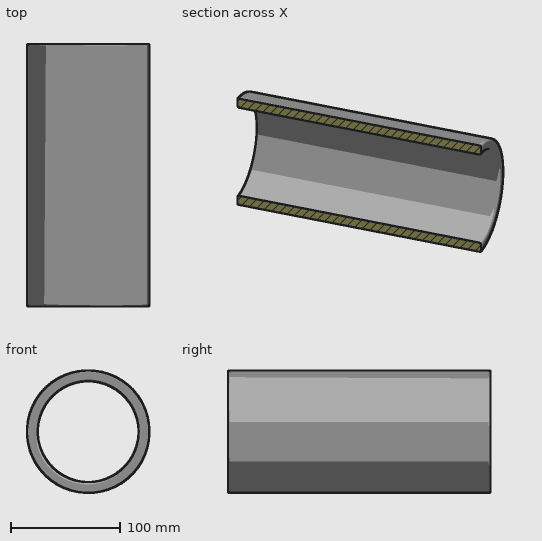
import cadquery as cq

length = 240.0
outer_diameter = 112.0
bore_diameter = 92.0
outer_rim_radius = 2.0
bore_rim_radius = 3.0


def cylinder_along_y(diameter):
    """Solid cylinder along Y, centred on the origin."""
    start_plane = cq.Workplane("XZ", origin=(0, length / 2, 0))
    return start_plane.circle(diameter / 2).extrude(length)


def rounded_bar():
    """Full outer cylinder with both end rims rounded."""
    return cylinder_along_y(outer_diameter).edges("%CIRCLE").fillet(outer_rim_radius)


def cut_bore(bar):
    """Cut the through bore and round its two mouths."""
    tube = bar.cut(cylinder_along_y(bore_diameter))
    return tube.faces("<Y or >Y").edges(cq.selectors.RadiusNthSelector(0)).fillet(bore_rim_radius)


result = cut_bore(rounded_bar())